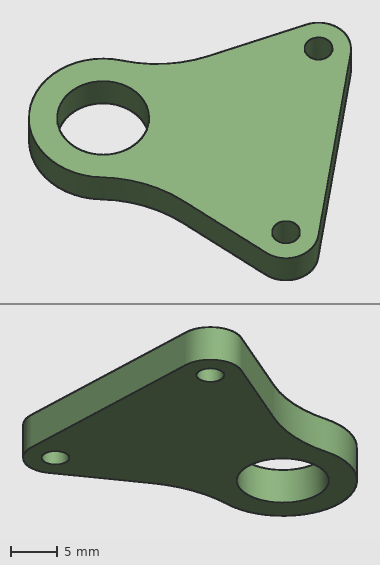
import cadquery as cq
import math

THICKNESS = 4.0
HOLE_SPACING = 25.0
BOSS_RADIUS = 8.0
BORE_DIAMETER = 9.9
CORNER_RADIUS = 3.5
CORNER_HOLE_DIAMETER = 3.0
NECK_RADIUS = 15.0

UPPER_ANGLE = 90.0
SIDE_ANGLE = 30.0
SYMMETRY_ANGLE = (UPPER_ANGLE + SIDE_ANGLE) / 2


def polar(radius, angle, centre=(0.0, 0.0)):
    """Point at a radius and an angle in degrees from a centre."""
    a = math.radians(angle)
    return (centre[0] + radius * math.cos(a), centre[1] + radius * math.sin(a))


def mirrored(point):
    """Reflect a point across the symmetry axis of the plate."""
    x, y = point
    a = math.radians(2 * SYMMETRY_ANGLE)
    return (x * math.cos(a) + y * math.sin(a), x * math.sin(a) - y * math.cos(a))


upper_corner = polar(HOLE_SPACING, UPPER_ANGLE)
side_corner = polar(HOLE_SPACING, SIDE_ANGLE)


def plate_outline():
    """Closed outline: two rounded corners and a boss, with concave necks between."""
    neck_x = -(CORNER_RADIUS + NECK_RADIUS)
    neck_y = math.sqrt((BOSS_RADIUS + NECK_RADIUS) ** 2 - neck_x ** 2)
    neck_centre = (neck_x, neck_y)
    neck_direction = math.degrees(math.atan2(neck_y, neck_x))

    boss_tangent = polar(BOSS_RADIUS, neck_direction)
    neck_middle = polar(NECK_RADIUS, (neck_direction - 180) / 2, neck_centre)
    flank_start = (-CORNER_RADIUS, neck_y)
    flank_end = (-CORNER_RADIUS, HOLE_SPACING)

    flank_normal = UPPER_ANGLE + 90
    corner_middle = polar(CORNER_RADIUS, (flank_normal + SYMMETRY_ANGLE) / 2, upper_corner)
    corner_end = polar(CORNER_RADIUS, SYMMETRY_ANGLE, upper_corner)
    boss_far_point = polar(BOSS_RADIUS, SYMMETRY_ANGLE + 180)

    return (
        cq.Workplane("XY")
        .moveTo(*boss_tangent)
        .threePointArc(neck_middle, flank_start)
        .lineTo(*flank_end)
        .threePointArc(corner_middle, corner_end)
        .lineTo(*mirrored(corner_end))
        .threePointArc(mirrored(corner_middle), mirrored(flank_end))
        .lineTo(*mirrored(flank_start))
        .threePointArc(mirrored(neck_middle), mirrored(boss_tangent))
        .threePointArc(boss_far_point, boss_tangent)
        .close()
    )


def through_holes(centres, diameter):
    """Cylinders that cut round holes through the full thickness."""
    return cq.Workplane("XY").pushPoints(centres).circle(diameter / 2).extrude(THICKNESS)


plate = plate_outline().extrude(THICKNESS)
bore = through_holes([(0.0, 0.0)], BORE_DIAMETER)
corner_holes = through_holes([upper_corner, side_corner], CORNER_HOLE_DIAMETER)

result = plate.cut(bore).cut(corner_holes)